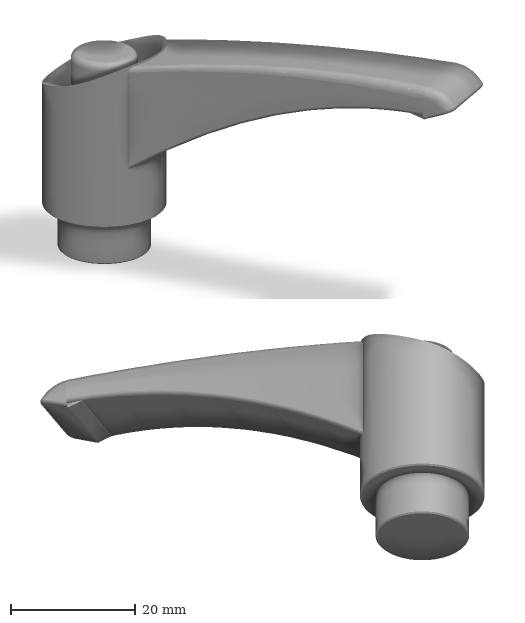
import cadquery as cq
import math

hub_radius = 10.0
collar_diameter = 15.0
collar_radius = collar_diameter / 2
collar_height = 7.5
lower_edge_chamfer = 0.2
hub_blank_height = 44.85

rim_mid_height = 32.1
rim_tilt_rise = 3.95
rim_side_rise = 0.2
rim_wave = 0.34
dish_floor_height = 28.8
dish_floor_radius = 4.5
dish_cutter_margin = 1.1
dish_cutter_radius = hub_radius + dish_cutter_margin
dish_cutter_top = hub_blank_height + dish_cutter_margin
rim_point_count = 24

button_radius = 5.4
button_top = 34.1
button_fillet = 1.1

overall_length = 74.75
overall_height = 40.95
tip_x = overall_length - hub_radius
nose_start_x = 59.65
nose_rounding_loss = 0.25
nose_corner_x = tip_x + nose_rounding_loss
nose_end_height = 37.8
nose_side_taper = 0.3
arm_start_x = 4.5
arm_station_count = 7
arm_top_curvature = 0.002141
arm_bottom_crest = (61.3, 36.3)
arm_bottom_curvature = 0.006556
waist_x = 34.4
waist_half_width = 5.8
waist_curvature = 0.001271
top_round_at_hub = 0.6
top_round_growth = 0.016
bottom_round = 0.5

lip_start = (57.2, 36.1)
lip_low = (59.4, 35.5)
lip_buried_top = 38.1


def rim_height(angle):
    """Height of the hub rim at an angle measured from +X."""
    tilt = rim_tilt_rise * math.cos(angle)
    side = rim_side_rise * math.sin(angle) ** 2
    wave = rim_wave * math.sin(2 * angle) ** 2
    return rim_mid_height + tilt + side + wave


def ring(radius, height_at):
    """Closed smooth wire around Z whose height depends on the angle."""
    angles = [2 * math.pi * i / rim_point_count for i in range(rim_point_count)]
    points = [
        cq.Vector(radius * math.cos(a), radius * math.sin(a), height_at(a))
        for a in angles
    ]
    return cq.Wire.assembleEdges([cq.Edge.makeSpline(points, periodic=True)])


def make_hub():
    """Collar and hub body with the dish cut into the top."""
    run_out = (dish_cutter_radius - dish_floor_radius) / (hub_radius - dish_floor_radius)

    def outer_height(angle):
        return dish_floor_height + run_out * (rim_height(angle) - dish_floor_height)

    dish = cq.Solid.makeLoft(
        [
            ring(dish_floor_radius, lambda angle: dish_floor_height),
            ring(dish_cutter_radius, outer_height),
            ring(dish_cutter_radius, lambda angle: dish_cutter_top),
        ],
        True,
    )
    collar = (
        cq.Workplane("XY")
        .circle(collar_radius)
        .extrude(collar_height)
        .faces("<Z")
        .chamfer(lower_edge_chamfer)
    )
    body = (
        cq.Workplane("XY")
        .workplane(offset=collar_height)
        .circle(hub_radius)
        .extrude(hub_blank_height - collar_height)
        .faces("<Z")
        .chamfer(lower_edge_chamfer)
        .cut(cq.Workplane(dish))
    )
    return collar.union(body)


def make_button():
    """Round button standing in the dish, with a rounded top edge."""
    return (
        cq.Workplane("XY")
        .workplane(offset=collar_height)
        .circle(button_radius)
        .extrude(button_top - collar_height)
        .faces(">Z")
        .edges()
        .fillet(button_fillet)
    )


def arm_half_width(x):
    return waist_half_width + waist_curvature * (x - waist_x) ** 2


def arm_top(x):
    return overall_height - arm_top_curvature * (nose_start_x - x) ** 2


def arm_bottom(x):
    crest_x, crest_z = arm_bottom_crest
    return crest_z - arm_bottom_curvature * (crest_x - x) ** 2


def top_round(x):
    return top_round_at_hub + top_round_growth * x


def arm_section(x):
    """Rounded rectangular cross-section of the arm at x."""
    half = arm_half_width(x)
    top = arm_top(x)
    low = arm_bottom(x)
    upper = top_round(x)
    lower = bottom_round
    sag = 1 - math.sqrt(0.5)
    outline = (
        cq.Workplane("YZ", origin=(x, 0, 0))
        .moveTo(lower - half, low)
        .lineTo(half - lower, low)
        .threePointArc((half - sag * lower, low + sag * lower), (half, low + lower))
        .lineTo(half, top - upper)
        .threePointArc((half - sag * upper, top - sag * upper), (half - upper, top))
        .lineTo(upper - half, top)
        .threePointArc((sag * upper - half, top - sag * upper), (-half, top - upper))
        .lineTo(-half, low + lower)
        .threePointArc((sag * lower - half, low + sag * lower), (lower - half, low))
        .close()
    )
    return outline.val()


def make_arm():
    """Arm lofted through cross-sections, waisted in width and tapering towards the nose."""
    step = (nose_start_x - arm_start_x) / (arm_station_count - 1)
    sections = [arm_section(arm_start_x + i * step) for i in range(arm_station_count)]
    return cq.Workplane(cq.Solid.makeLoft(sections))


def make_nose():
    """Rounded end of the lever: an arc rolling down from the top, trimmed by a rising underside."""
    run = nose_corner_x - nose_start_x
    drop = overall_height - nose_end_height
    roll = (run**2 + drop**2) / (2 * drop)
    center_z = overall_height - roll
    half = arm_half_width(nose_start_x)
    blank = (
        cq.Workplane("XZ", origin=(0, half, 0))
        .moveTo(nose_start_x, center_z)
        .lineTo(nose_start_x, overall_height)
        .radiusArc((nose_start_x + roll, center_z), roll)
        .close()
        .extrude(2 * half)
    )
    end_half = half - nose_side_taper
    end_x = nose_start_x + roll
    plan = (
        cq.Workplane("XY")
        .moveTo(nose_start_x, -half)
        .lineTo(end_x, -end_half)
        .lineTo(end_x, end_half)
        .lineTo(nose_start_x, half)
        .close()
        .extrude(overall_height)
    )
    rolled = blank.intersect(plan).edges("%ELLIPSE").fillet(top_round(nose_start_x))
    slope = (nose_end_height - lip_low[1]) / (nose_corner_x - lip_low[0])
    far_x = nose_start_x + 2 * roll
    underside = (
        cq.Workplane("XZ", origin=(0, 2 * half, 0))
        .moveTo(*lip_low)
        .lineTo(far_x, lip_low[1] + slope * (far_x - lip_low[0]))
        .lineTo(far_x, 0)
        .lineTo(lip_low[0], 0)
        .close()
        .extrude(4 * half)
    )
    trimmed = rolled.cut(underside)
    underside_edges = trimmed.faces("<Z").edges("not |Y")
    return underside_edges.fillet(bottom_round)


def make_lip():
    """Wedge under the arm joining its underside to the nose."""
    half = arm_half_width(lip_start[0]) - bottom_round
    return (
        cq.Workplane("XZ", origin=(0, half, 0))
        .moveTo(*lip_start)
        .lineTo(*lip_low)
        .lineTo(nose_start_x, lip_low[1])
        .lineTo(nose_start_x, lip_buried_top)
        .lineTo(lip_start[0], lip_buried_top)
        .close()
        .extrude(2 * half)
    )


hub_space = cq.Workplane("XY").circle(hub_radius).extrude(hub_blank_height)
lever = make_arm().union(make_nose()).union(make_lip()).cut(hub_space)
handle = make_hub().union(make_button()).union(lever)
result = cq.Workplane(handle.solids().val())